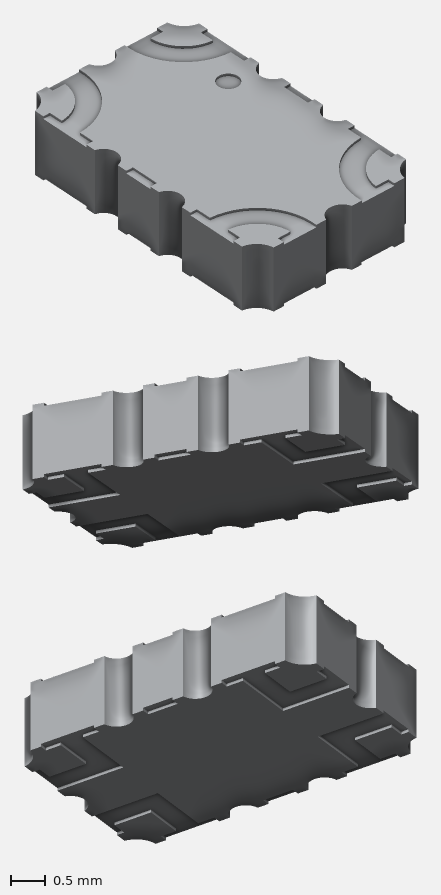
import cadquery as cq

length = 5.08
width = 3.17
height = 1.14

corner_notch_radius = 0.375
side_notch_radius = 0.25
end_notch_radius = 0.26
long_side_notch_x = 0.685
notch_overhang = 0.05
end_notch_overhang = 0.075

recess_depth = 0.045
strip_width = 0.125
center_strip_length = 0.515
long_strip_start = 0.505
long_strip_end = 1.43
end_strip_start = 0.52
channel_inner_reach = 0.76
channel_outer_reach = 1.15
arc_center_inset = 0.075

mark_radius = 0.19
mark_x = -0.895
mark_y = 0.955

half_length = length / 2
half_width = width / 2
corner_signs = [(sx, sy) for sx in (-1, 1) for sy in (-1, 1)]


def block(x_start, x_end, y_start, y_end):
    """Recess-deep block standing on Z = 0."""
    plan = cq.Workplane("XY").moveTo(x_start, y_start).lineTo(x_end, y_start)
    return plan.lineTo(x_end, y_end).lineTo(x_start, y_end).close().extrude(recess_depth)


def arched_channel():
    """Ring around a point near the corner at the origin, kept to the corner's quadrant."""
    ring = (
        cq.Workplane("XY")
        .center(arc_center_inset, arc_center_inset)
        .circle(channel_outer_reach - arc_center_inset)
        .circle(channel_inner_reach - arc_center_inset)
        .extrude(recess_depth)
    )
    return ring.intersect(block(0, channel_outer_reach, 0, channel_outer_reach))


def square_channel():
    """L-shaped channel around the corner at the origin."""
    outer = block(0, channel_outer_reach, 0, channel_outer_reach)
    return outer.cut(block(0, channel_inner_reach, 0, channel_inner_reach))


def corner_recess(channel):
    """Channel joined to its edge strips, for the corner at the origin."""
    long_strip = block(long_strip_start, long_strip_end, 0, strip_width)
    strip_end = (channel_inner_reach + channel_outer_reach) / 2
    end_strip = block(0, strip_width, end_strip_start, strip_end)
    return channel.union(long_strip).union(end_strip)


def face_recesses(channel):
    """All edge recesses of one face, standing on Z = 0."""
    low_left = corner_recess(channel).translate((-half_length, -half_width, 0))
    low_left = low_left.union(
        block(-center_strip_length / 2, center_strip_length / 2, -half_width, strip_width - half_width)
    )
    low_side = low_left.union(low_left.mirror("YZ"))
    return low_side.union(low_side.mirror("XZ"))


def notch(x, y, radius):
    return cq.Workplane("XY").center(x, y).circle(radius).extrude(height)


body = cq.Workplane("XY").box(length, width, height, centered=(True, True, False))

for sx, sy in corner_signs:
    axis_y = sy * (half_width + notch_overhang)
    body = body.cut(notch(sx * (half_length + notch_overhang), axis_y, corner_notch_radius))
    body = body.cut(notch(sx * long_side_notch_x, axis_y, side_notch_radius))

for side in (-1, 1):
    body = body.cut(notch(side * (half_length + end_notch_overhang), 0, end_notch_radius))

top_level = height - recess_depth
body = body.cut(face_recesses(arched_channel()).translate((0, 0, top_level)))
body = body.cut(face_recesses(square_channel()))

mark = cq.Workplane("XY", origin=(mark_x, mark_y, top_level)).circle(mark_radius).extrude(recess_depth)
result = body.cut(mark)